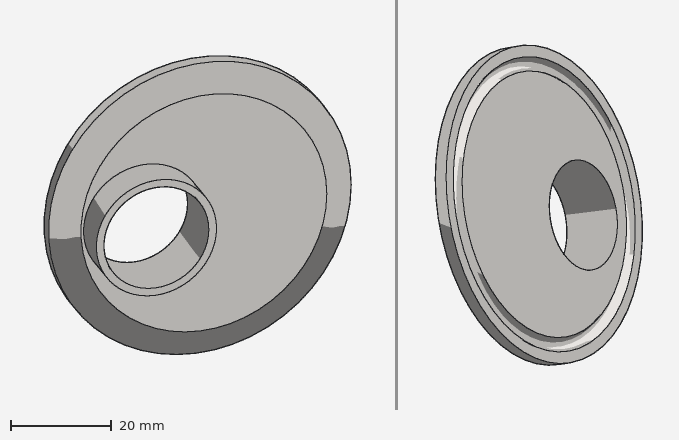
import cadquery as cq

flange_radius = 31.95
rim_thickness = 2.75
flange_thickness = 5.1
back_face_radius = 25.95

groove_radius = 28.2
groove_width = 2.9
groove_depth = 1.55
wall_depth = 0.75
wall_inset = 0.3

total_length = 12.7
tube_outer_diameter = 25.4
tube_bore_diameter = 22.1
tube_offset = 12.7


def make_flange():
    """Disc with a cylindrical rim and a conical back."""
    return (
        cq.Workplane("XY")
        .moveTo(0, 0)
        .lineTo(0, flange_radius)
        .lineTo(rim_thickness, flange_radius)
        .lineTo(flange_thickness, back_face_radius)
        .lineTo(flange_thickness, 0)
        .close()
        .revolve(360, (0, 0, 0), (1, 0, 0))
    )


def make_groove():
    """Ring of material removed by the gasket groove."""
    half_width = groove_width / 2
    half_bottom = half_width - wall_inset
    return (
        cq.Workplane("XY")
        .moveTo(0, groove_radius - half_width)
        .lineTo(wall_depth, groove_radius - half_bottom)
        .threePointArc((groove_depth, groove_radius), (wall_depth, groove_radius + half_bottom))
        .lineTo(0, groove_radius + half_width)
        .close()
        .revolve(360, (0, 0, 0), (1, 0, 0))
    )


def make_off_centre_cylinder(diameter):
    """Full-length cylinder along X on the tube axis."""
    return cq.Workplane("YZ").center(-tube_offset, 0).circle(diameter / 2).extrude(total_length)


flange = make_flange()
tube = make_off_centre_cylinder(tube_outer_diameter)
bore = make_off_centre_cylinder(tube_bore_diameter)

result = flange.union(tube).cut(bore).cut(make_groove())